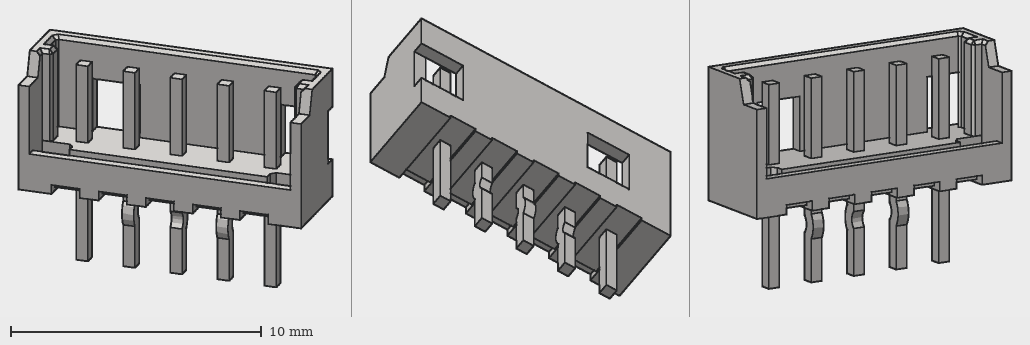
import cadquery as cq
import math


housing_length = 12.0
housing_height = 5.5
total_height = 9.0
back_y = 1.5
front_y = -2.15
end_wall = 0.45
back_wall = 0.5
front_wall = 0.41
floor_z = 1.6
shoulder_drop = 1.0
shoulder_top_y = -0.85
shoulder_foot_y = -1.15

lead_in = 0.15
corner_cut = 0.1
rib_reach = 0.41
rib_width = 0.75
rib_center_y = -0.24
rib_corner_cut = 0.11
trough_depth = 0.5
trough_back_y = -1.15
trough_end_back_y = -0.62
trough_end_length = 1.35
trough_corner_cut = 0.19
window_height = 2.25

kink_sides = (0, -1, 1, -1, 0)
pin_count = len(kink_sides)
pin_pitch = housing_length / (pin_count + 1)
pin_size = 0.5
pin_top_drop = 0.6
pin_top_z = housing_height - pin_top_drop
pin_bottom_z = housing_height - total_height
kink_center_z = -1.2
kink_outer_radius = 1.0
kink_reach = 0.15

groove_width = 1.2
groove_height = 0.15
groove_front_height = 0.4
groove_front_depth = front_wall

end_x = housing_length / 2
cavity_end_x = end_x - end_wall
cavity_back_y = back_y - back_wall
sill_back_y = front_y + front_wall
pin_xs = [(i - (pin_count - 1) / 2) * pin_pitch for i in range(pin_count)]


def block(x0, x1, y0, y1, z0, z1):
    """Box given by its limits along each axis."""
    return cq.Workplane("XY").box(x1 - x0, y1 - y0, z1 - z0, centered=False).translate((x0, y0, z0))


def mirrored(right_half):
    """Closed outline from its right half and the mirror image of that half across X = 0."""
    left_half = [(-x, y) for x, y in reversed(right_half)]
    return right_half + left_half


def make_cavity():
    """Cavity above the floor, open to the front, with a guide rib on each end wall."""
    rib_tip_x = cavity_end_x - rib_reach
    rib_front_y = rib_center_y - rib_width / 2
    rib_back_y = rib_center_y + rib_width / 2
    outline = mirrored([
        (cavity_end_x, front_y),
        (cavity_end_x, rib_front_y),
        (rib_tip_x + rib_corner_cut, rib_front_y),
        (rib_tip_x, rib_front_y + rib_corner_cut),
        (rib_tip_x, rib_back_y - rib_corner_cut),
        (rib_tip_x + rib_corner_cut, rib_back_y),
        (cavity_end_x, rib_back_y),
        (cavity_end_x, cavity_back_y - corner_cut),
        (cavity_end_x - corner_cut, cavity_back_y),
    ])
    floor = cq.Workplane("XY", origin=(0, 0, floor_z))
    return floor.polyline(outline).close().extrude(housing_height - floor_z)


def make_shell():
    """Open-topped housing with a chamfered rim and end walls that step down towards the front."""
    shell = block(-end_x, end_x, front_y, back_y, 0, housing_height).cut(make_cavity())

    rim_region = cq.selectors.BoxSelector(
        (-end_x + end_wall / 2, front_y + end_wall / 2, housing_height - lead_in),
        (end_x - end_wall / 2, back_y - back_wall / 2, housing_height + lead_in),
    )
    shell = shell.faces(">Z").edges(rim_region).chamfer(lead_in)

    shoulder_outline = [
        (front_y, housing_height),
        (shoulder_top_y, housing_height),
        (shoulder_foot_y, housing_height - shoulder_drop),
        (front_y, housing_height - shoulder_drop),
    ]
    shoulder = cq.Workplane("YZ").polyline(shoulder_outline).close().extrude(end_x, both=True)
    return shell.cut(shoulder)


def make_trough():
    """Trough in the floor behind the sill, wider at both ends."""
    wide_x = cavity_end_x - trough_end_length
    outline = mirrored([
        (cavity_end_x, sill_back_y),
        (cavity_end_x, trough_end_back_y),
        (wide_x + trough_corner_cut, trough_end_back_y),
        (wide_x, trough_end_back_y - trough_corner_cut),
        (wide_x, trough_back_y),
    ])
    trough_bottom = cq.Workplane("XY", origin=(0, 0, floor_z - trough_depth))
    return trough_bottom.polyline(outline).close().extrude(trough_depth)


def make_window(pin_x):
    """Opening through the back wall, one pitch long, starting level with a pin."""
    return block(pin_x, pin_x + pin_pitch, cavity_back_y, back_y, floor_z, floor_z + window_height)


def make_groove(x):
    """Groove under the housing along Y, taller at the front."""
    half = groove_width / 2
    groove = block(x - half, x + half, front_y, back_y, 0, groove_height)
    front = block(x - half, x + half, front_y, front_y + groove_front_depth, 0, groove_front_height)
    return groove.union(front)


def make_straight_pin(x):
    """Straight square pin."""
    half = pin_size / 2
    return block(x - half, x + half, -half, half, pin_bottom_z, pin_top_z)


def make_kinked_pin(x, side):
    """Pin with a round kink below the housing; side is +1 towards +Y and -1 towards -Y."""
    half = pin_size / 2
    center = half + kink_reach - kink_outer_radius
    inner_radius = kink_outer_radius - pin_size
    outer_rise = math.sqrt(kink_outer_radius**2 - (half - center) ** 2)
    inner_rise = math.sqrt(inner_radius**2 - (half + center) ** 2)
    outline = (
        cq.Workplane("YZ", origin=(x - half, 0, 0))
        .moveTo(side * half, pin_bottom_z)
        .lineTo(side * half, kink_center_z - outer_rise)
        .threePointArc((side * (half + kink_reach), kink_center_z), (side * half, kink_center_z + outer_rise))
        .lineTo(side * half, pin_top_z)
        .lineTo(-side * half, pin_top_z)
        .lineTo(-side * half, kink_center_z + inner_rise)
        .threePointArc((side * (kink_reach - half), kink_center_z), (-side * half, kink_center_z - inner_rise))
        .lineTo(-side * half, pin_bottom_z)
        .close()
    )
    return outline.extrude(pin_size)


result = make_shell().cut(make_trough())

for x in (pin_xs[0], pin_xs[-1]):
    result = result.cut(make_window(x))

for x in pin_xs:
    result = result.cut(make_groove(x))

for x, side in zip(pin_xs, kink_sides):
    pin = make_kinked_pin(x, side) if side else make_straight_pin(x)
    result = result.union(pin)